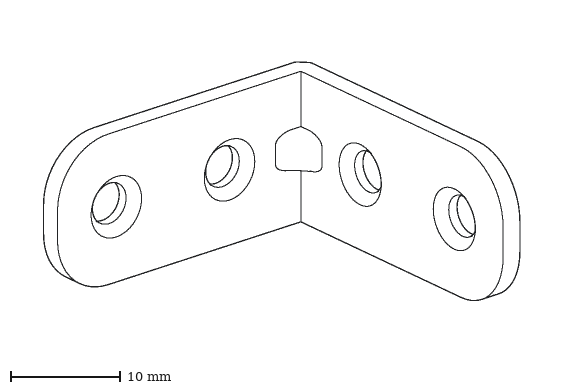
import cadquery as cq
import math

leg_length = 31.0
height = 15.0
thickness = 2.0
end_radius = 6.0
corner_chamfer = 1.0

hole_diameter = 4.0
countersink_diameter = 6.0
countersink_angle = 90.0
hole_distances = (10.5, 24.0)

rib_reach = 3.0
rib_width = 4.0
rib_arc_radius = 6.0
rib_edge_radius = 1.0
rib_embed = 0.25


def make_leg():
    """Leg along +X, outer face on Y = 0, with rounded end and countersunk holes."""
    leg = cq.Workplane("XY").box(leg_length, thickness, height, centered=(False, False, True))
    leg = leg.translate((0, -thickness, 0))
    leg = leg.edges("|Y and >X").fillet(end_radius)
    return (
        leg.faces("<Y")
        .workplane(origin=(0, 0, 0))
        .pushPoints([(distance, 0) for distance in hole_distances])
        .cskHole(hole_diameter, countersink_diameter, countersink_angle)
    )


def make_rib():
    """Rib with a hollow arc front whose two long edges are rounded."""
    half_chord = rib_reach / math.sqrt(2)
    centre_to_chord = math.sqrt(rib_arc_radius**2 - half_chord**2)
    centre = rib_reach / 2 + centre_to_chord / math.sqrt(2)
    middle = centre - rib_arc_radius / math.sqrt(2)
    arc_end = centre - math.sqrt(rib_arc_radius**2 - (centre + rib_embed) ** 2)

    rib = (
        cq.Workplane("XY")
        .moveTo(-rib_embed, rib_embed)
        .lineTo(arc_end, rib_embed)
        .threePointArc((middle, -middle), (-rib_embed, -arc_end))
        .close()
        .extrude(rib_width / 2, both=True)
    )
    rib = rib.edges("%CIRCLE").fillet(rib_edge_radius)
    return rib.translate((thickness, -thickness, 0))


leg_x = make_leg()
leg_y = leg_x.mirror("XZ").rotate((0, 0, 0), (0, 0, 1), -90)

bracket = leg_x.union(leg_y)
bracket = bracket.edges("|Z and <X and >Y").chamfer(corner_chamfer)
result = bracket.union(make_rib())